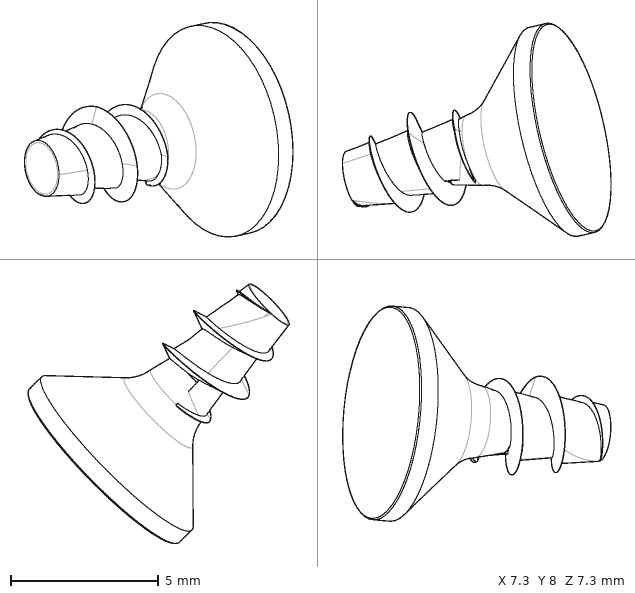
import cadquery as cq
import math

length = 8.0

head_radius = 3.65
rim_depth = 0.66
rim_chamfer = 0.05
cone_end_radius = 1.65
cone_end_depth = rim_depth + head_radius - cone_end_radius

neck_depth = 3.51
neck_radius = 1.23
neck_taper_length = 1.0
neck_taper_radius = 0.99
core_radius = 0.95
tip_radius = 0.97
envelope_slope = 0.14
tip_rim_width = 0.08
tip_recess_depth = 0.06

pitch = 1.55
thread_start_depth = 3.32
flank_slope = math.tan(math.radians(19))
thread_root_radius = 0.88
crest_width = 0.02
lead_in_end = 0.25
start_crest_radius = 1.38
lead_in_crest_radius = 1.44
full_crest_radius = 1.76
full_crest_start = 1.25
full_crest_end = 1.5
thread_turns = 3.0

saw_large_radius = 1.22
saw_small_radius = 0.97
saw_inner_radius = 0.8
saw_gap = 0.01

points_per_turn = 24


def revolve_about_axis(profile):
    return profile.close().revolve(360, (0, 0, 0), (0, 1, 0))


def helix_point(turn, radius, offset):
    """Point on a helix, shifted towards the tip by offset."""
    angle = 2 * math.pi * turn
    depth = thread_start_depth + pitch * turn + offset
    return cq.Vector(radius * math.sin(angle), -depth, -radius * math.cos(angle))


def helical_solid(start, end, start_section, end_section):
    """Helical bar whose (radius, offset) section changes linearly along its length."""
    steps = math.ceil((end - start) * points_per_turn)

    def corner_edge(first, last):
        points = []
        for step in range(steps + 1):
            share = step / steps
            radius = first[0] + share * (last[0] - first[0])
            offset = first[1] + share * (last[1] - first[1])
            points.append(helix_point(start + share * (end - start), radius, offset))
        parameters = [step / steps for step in range(steps + 1)]
        return cq.Edge.makeSpline(points, parameters=parameters)

    edges = [corner_edge(a, b) for a, b in zip(start_section, end_section)]
    faces = [cq.Face.makeRuledSurface(a, b) for a, b in zip(edges, edges[1:] + edges[:1])]
    for turn, section in ((start, start_section), (end, end_section)):
        corners = [helix_point(turn, radius, offset) for radius, offset in section]
        faces.append(cq.Face.makeFromWires(cq.Wire.makePolygon(corners, close=True)))
    return cq.Solid.makeSolid(cq.Shell.makeShell(faces))


def thread_section(crest_radius, shift=0.0):
    half_crest = crest_width / 2
    half_root = half_crest + (crest_radius - thread_root_radius) * flank_slope
    return [
        (thread_root_radius, shift - half_root),
        (crest_radius, shift - half_crest),
        (crest_radius, shift + half_crest),
        (thread_root_radius, shift + half_root),
    ]


def make_head():
    profile = (
        cq.Workplane("XY")
        .lineTo(head_radius - rim_chamfer, 0)
        .lineTo(head_radius, -rim_chamfer)
        .lineTo(head_radius, -rim_depth)
        .lineTo(cone_end_radius, -cone_end_depth)
        .tangentArcPoint((neck_radius, -neck_depth), relative=False)
        .lineTo(neck_taper_radius, -neck_depth - neck_taper_length)
        .lineTo(core_radius, -neck_depth - neck_taper_length)
        .lineTo(core_radius, -length)
        .lineTo(0, -length)
    )
    return revolve_about_axis(profile)


def add_sawtooth_core(body):
    section = [
        (saw_inner_radius, 0),
        (saw_large_radius, 0),
        (saw_small_radius, pitch - saw_gap),
        (saw_inner_radius, pitch - saw_gap),
    ]
    envelope_length = length - neck_depth
    envelope = revolve_about_axis(
        cq.Workplane("XY")
        .moveTo(0, -neck_depth)
        .lineTo(tip_radius + envelope_slope * envelope_length, -neck_depth)
        .lineTo(tip_radius, -length)
        .lineTo(0, -length)
    )
    for index in range(math.ceil(thread_turns)):
        end = min(index + 1, thread_turns)
        sawtooth = cq.Workplane(obj=helical_solid(index, end, section, section))
        body = body.union(envelope.intersect(sawtooth))
    return body


def make_thread():
    stages = [
        (lead_in_end, full_crest_start, lead_in_crest_radius, full_crest_radius),
        (full_crest_start, full_crest_end, full_crest_radius, full_crest_radius),
        (full_crest_end, thread_turns, full_crest_radius, tip_radius),
    ]
    bounds = cq.Workplane("XZ", origin=(0, -neck_depth, 0)).circle(head_radius).extrude(length - neck_depth)
    lead_in = helical_solid(
        0,
        lead_in_end,
        thread_section(start_crest_radius, neck_depth - thread_start_depth),
        thread_section(lead_in_crest_radius),
    )
    pieces = [lead_in]
    for start, end, first_radius, last_radius in stages:
        start_section = thread_section(first_radius)
        end_section = thread_section(last_radius)
        pieces.append(helical_solid(start, end, start_section, end_section))
    thread = cq.Workplane("XY")
    for piece in pieces:
        thread = thread.add(bounds.intersect(cq.Workplane(obj=piece)).val())
    return thread.combine()


def make_tip_recess():
    profile = (
        cq.Workplane("XY")
        .moveTo(0, -length)
        .lineTo(tip_radius - tip_rim_width, -length)
        .lineTo(0, tip_recess_depth - length)
    )
    return revolve_about_axis(profile)


result = add_sawtooth_core(make_head()).union(make_thread()).cut(make_tip_recess())